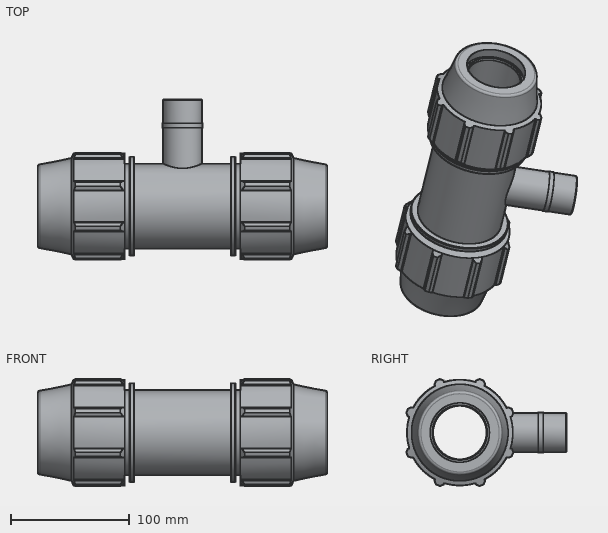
import cadquery as cq

full_turn = 360

overall_length = 244.0
half_length = overall_length / 2
body_diameter = 72.0
bore_diameter = 45.0

mouth_diameter = 50.0
mouth_depth = 7.8
lead_in_diameter = 46.4
lead_in_length = 1.7
end_face_radius = 33.0
end_rounding_length = 1.7
flare_start_radius = 35.5
flare_mid_radius = 37.8
flare_end_radius = 40.7
flare_end = 28.5

grip_radius = 44.7
grip_inner_end = 73.2
shoulder_run = 1.7
rib_count = 8
rib_tip_radius = 48.0
rib_width = 8.3
rib_edge_bevel = 2.32
envelope_clearance = 2.5

collar_diameter = 83.5
collar_outer_face = 77.3
collar_width = 4.1
collar_chamfer_length = 0.7
collar_chamfer_height = 0.5

branch_reach = 90.0
branch_diameter = 33.2
branch_bore_diameter = 23.2
branch_end_chamfer = 0.7
band_diameter = 34.0
band_width = 4.0
band_from_tip = 20.0


def x_cylinder(diameter, start, length):
    """Cylinder along the main axis, starting at X = start."""
    return cq.Workplane("YZ", origin=(start, 0, 0)).circle(diameter / 2).extrude(length)


def y_cylinder(diameter, start, length):
    """Cylinder along the branch axis, starting at Y = start."""
    return cq.Workplane("XZ", origin=(0, start, 0)).circle(diameter / 2).extrude(-length)


def revolve_about_x(profile):
    return profile.close().revolve(full_turn, (0, 0, 0), (1, 0, 0))


def make_flare():
    """Gently curved flare from the rounded end face up to the grip."""
    rounding_end = -half_length + end_rounding_length
    flare_stop = -half_length + flare_end
    profile = (
        cq.Workplane("XY")
        .moveTo(-half_length, 0)
        .lineTo(-half_length, end_face_radius)
        .tangentArcPoint((rounding_end, flare_start_radius), relative=False)
        .threePointArc(
            ((rounding_end + flare_stop) / 2, flare_mid_radius),
            (flare_stop, flare_end_radius),
        )
        .lineTo(flare_stop, 0)
    )
    return revolve_about_x(profile)


def make_grip():
    """Grip with bevelled ribs, trimmed to a steep shoulder and a 45 degree inner bevel."""
    start = -half_length + flare_end
    stop = -half_length + grip_inner_end
    length = stop - start
    rib_pair = (
        cq.Workplane("YZ", origin=(start, 0, 0))
        .rect(rib_width, 2 * rib_tip_radius)
        .extrude(length)
        .edges("|X")
        .chamfer(rib_edge_bevel)
    )
    grip = x_cylinder(2 * grip_radius, start, length)
    pitch = full_turn / rib_count
    for index in range(rib_count // 2):
        grip = grip.union(rib_pair.rotate((0, 0, 0), (1, 0, 0), pitch * (index + 0.5)))

    envelope_radius = rib_tip_radius + envelope_clearance
    shoulder_slope = shoulder_run / (grip_radius - flare_end_radius)
    envelope = (
        cq.Workplane("XY")
        .moveTo(start, 0)
        .lineTo(start, flare_end_radius)
        .lineTo(start + shoulder_slope * (envelope_radius - flare_end_radius), envelope_radius)
        .lineTo(stop - (envelope_radius - grip_radius), envelope_radius)
        .lineTo(stop, grip_radius)
        .lineTo(stop, 0)
    )
    return grip.intersect(revolve_about_x(envelope))


def make_collar():
    """Thin collar whose two rims have a slight bevel."""
    start = -half_length + collar_outer_face
    stop = start + collar_width
    radius = collar_diameter / 2
    profile = (
        cq.Workplane("XY")
        .moveTo(start, 0)
        .lineTo(start, radius - collar_chamfer_height)
        .lineTo(start + collar_chamfer_length, radius)
        .lineTo(stop - collar_chamfer_length, radius)
        .lineTo(stop, radius - collar_chamfer_height)
        .lineTo(stop, 0)
    )
    return revolve_about_x(profile)


def make_branch():
    """Plain spigot with a thin band around it."""
    spigot = y_cylinder(branch_diameter, 0, branch_reach).faces(">Y").edges().chamfer(branch_end_chamfer)
    band = y_cylinder(band_diameter, branch_reach - band_from_tip - band_width, band_width)
    return spigot.union(band)


def make_mouth():
    """Cutter for the pipe entry: a flat-bottomed mouth, then a short lead-in cone to the bore."""
    mouth_floor = -half_length + mouth_depth
    profile = (
        cq.Workplane("XY")
        .moveTo(-half_length, 0)
        .lineTo(-half_length, mouth_diameter / 2)
        .lineTo(mouth_floor, mouth_diameter / 2)
        .lineTo(mouth_floor, lead_in_diameter / 2)
        .lineTo(mouth_floor + lead_in_length, bore_diameter / 2)
        .lineTo(mouth_floor + lead_in_length, 0)
    )
    return revolve_about_x(profile)


body = x_cylinder(body_diameter, -half_length + flare_end, overall_length - 2 * flare_end)
nut_end = make_flare().union(make_grip())
for end_piece in (nut_end, make_collar()):
    body = body.union(end_piece).union(end_piece.mirror("YZ"))
body = body.union(make_branch())

mouth = make_mouth()
result = (
    body.cut(x_cylinder(bore_diameter, -half_length, overall_length))
    .cut(mouth)
    .cut(mouth.mirror("YZ"))
    .cut(y_cylinder(branch_bore_diameter, 0, branch_reach))
)